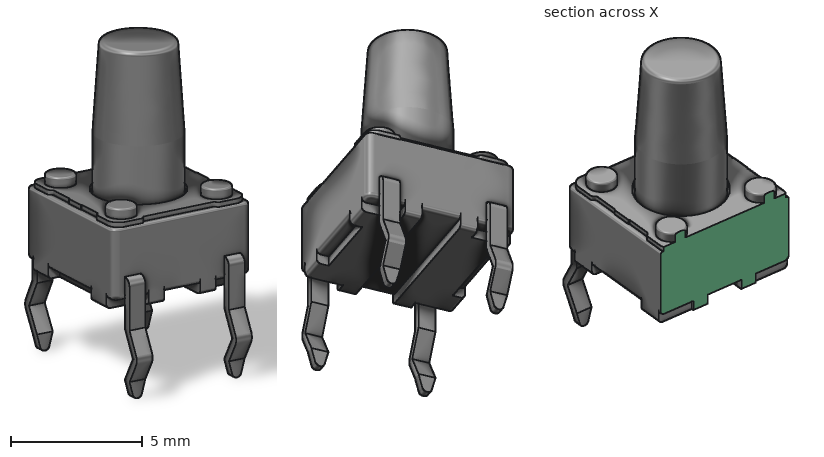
import cadquery as cq

total_height = 13

case_side = 6.2
case_half = case_side / 2
case_corner_radius = 0.3
case_bottom_z = 0.42
case_top_z = 3.32
case_top_edge_radius = 0.12
case_bottom_edge_radius = 0.2

tab_edge_radius = 0.2
front_tab_inner = 1.52
front_tab_outer = 2.59
tab_thickness = case_half - front_tab_outer
side_tab_inner = 0.8
side_tab_outer = 1.51

base_side = 2 * front_tab_outer
base_channel_width = 2 * side_tab_inner

plate_side = 5.98
plate_half = plate_side / 2
plate_corner_radius = 0.5
plate_thickness = 0.2
plate_top_z = case_top_z + plate_thickness
notch_depth = 0.15
notch_half_length = 1.77
notch_floor_half_length = 1.52
notch_bump_half_length = 0.42
notch_bump_height = 0.04

stud_radius = 0.6
stud_height = 0.4
stud_edge_radius = 0.09
stud_offset = 2.15

button_radius = 1.75
button_tip_radius = 1.51
button_top_z = 9.5
button_taper_z = 5.81
button_edge_radius = 0.2
button_hole_radius = 1.86

leg_width = 0.72
leg_thickness = 0.34
leg_offset = 2.24
leg_top_z = 1.35
leg_bend_z = -0.72
leg_kink_z = -1.8
leg_foot_z = -2.78
leg_tip_z = button_top_z - total_height
leg_span = 7.9
leg_kink_reach = 0.57
leg_kink_round_height = 0.36
leg_tip_round_height = 0.17
leg_tip_round_width = 0.42


def make_case():
    case = (
        cq.Workplane("XY")
        .workplane(offset=case_bottom_z)
        .rect(case_side, case_side)
        .extrude(case_top_z - case_bottom_z)
        .edges("|Z")
        .fillet(case_corner_radius)
    )
    case = case.faces(">Z").edges().fillet(case_top_edge_radius)
    return case.faces("<Z").edges().fillet(case_bottom_edge_radius)


def make_tab(start, end):
    """Tab in the -Y wall between two X positions, rounded along its outer bottom edge."""
    tab_top_z = case_bottom_z + case_bottom_edge_radius
    tab = cq.Workplane("XY").box(end - start, tab_thickness, tab_top_z, centered=False)
    tab = tab.translate((start, -case_half, 0))
    return tab.edges("|X and <Y and <Z").fillet(tab_edge_radius)


def make_tabs():
    front_tab = make_tab(front_tab_inner, front_tab_outer)
    front_pair = front_tab.union(front_tab.mirror("YZ"))
    side_tab = make_tab(side_tab_inner, side_tab_outer)
    side_pair = side_tab.union(side_tab.mirror("YZ")).rotate((0, 0, 0), (0, 0, 1), -90)
    tabs = front_pair.union(side_pair)
    return tabs.union(tabs.rotate((0, 0, 0), (0, 0, 1), 180))


def make_base():
    base = cq.Workplane("XY").rect(base_side, base_side).extrude(case_bottom_z + case_bottom_edge_radius)
    channel = cq.Workplane("XY").rect(case_side, base_channel_width).extrude(case_bottom_z)
    return base.cut(channel)


def make_notch(has_bump):
    """Shallow notch in the -Y edge of the plate, its ends curving smoothly into the edge."""
    floor_y = -plate_half + notch_depth
    outside_y = -plate_half - notch_depth
    end_middle = ((notch_floor_half_length + notch_half_length) / 2, -plate_half + notch_depth / 2)
    bump_height = notch_bump_height if has_bump else 0
    half_notch = cq.Workplane("XY").workplane(offset=case_top_z).moveTo(0, outside_y)
    half_notch = half_notch.lineTo(0, floor_y - bump_height)
    if has_bump:
        half_notch = half_notch.lineTo(notch_bump_half_length, floor_y - bump_height)
        half_notch = half_notch.lineTo(notch_bump_half_length + bump_height, floor_y)
    half_notch = (
        half_notch.lineTo(notch_floor_half_length, floor_y)
        .tangentArcPoint(end_middle, relative=False)
        .tangentArcPoint((notch_half_length, -plate_half), relative=False)
        .lineTo(notch_half_length, outside_y)
        .close()
        .extrude(plate_thickness)
    )
    return half_notch.union(half_notch.mirror("YZ"))


def make_plate():
    plate = (
        cq.Workplane("XY")
        .workplane(offset=case_top_z)
        .rect(plate_side, plate_side)
        .extrude(plate_thickness)
        .edges("|Z")
        .fillet(plate_corner_radius)
    )
    for side in range(4):
        notch = make_notch(has_bump=side % 2 == 0)
        plate = plate.cut(notch.rotate((0, 0, 0), (0, 0, 1), 90 * side))
    hole = cq.Workplane("XY").workplane(offset=case_top_z).circle(button_hole_radius).extrude(plate_thickness)
    return plate.cut(hole)


def make_studs():
    return (
        cq.Workplane("XY")
        .workplane(offset=plate_top_z)
        .rect(2 * stud_offset, 2 * stud_offset, forConstruction=True)
        .vertices()
        .circle(stud_radius)
        .extrude(stud_height)
        .faces(">Z")
        .edges()
        .fillet(stud_edge_radius)
    )


def make_button():
    button = (
        cq.Workplane("XZ")
        .moveTo(0, case_top_z)
        .lineTo(button_radius, case_top_z)
        .lineTo(button_radius, button_taper_z)
        .lineTo(button_tip_radius, button_top_z)
        .lineTo(0, button_top_z)
        .close()
        .revolve(360, (0, 0, 0), (0, 1, 0))
    )
    return button.faces(">Z").edges().fillet(button_edge_radius)


def make_leg():
    """Leg on the +X wall at +Y: kinked side profile trimmed to a tapered outline."""
    inner_x = case_half
    outer_x = inner_x + leg_thickness
    kink_inner_x = inner_x + leg_kink_reach
    kink_x = outer_x + leg_kink_reach
    half_round = leg_kink_round_height / 2
    upper_x = kink_x - leg_kink_reach * half_round / (leg_bend_z - leg_kink_z)
    lower_x = kink_x - leg_kink_reach * half_round / (leg_kink_z - leg_foot_z)
    profile = (
        cq.Workplane("XZ")
        .moveTo(inner_x - leg_thickness, leg_top_z)
        .lineTo(inner_x, leg_top_z)
        .radiusArc((outer_x, leg_top_z - leg_thickness), leg_thickness)
        .lineTo(outer_x, leg_bend_z)
        .lineTo(upper_x, leg_kink_z + half_round)
        .threePointArc((leg_span / 2, leg_kink_z), (lower_x, leg_kink_z - half_round))
        .lineTo(outer_x, leg_foot_z)
        .lineTo(outer_x, leg_tip_z)
        .lineTo(inner_x, leg_tip_z)
        .lineTo(inner_x, leg_foot_z)
        .lineTo(kink_inner_x, leg_kink_z)
        .lineTo(inner_x, leg_bend_z)
        .lineTo(inner_x, leg_top_z - leg_thickness)
        .lineTo(inner_x - leg_thickness, leg_top_z - leg_thickness)
        .close()
        .extrude(leg_width / 2, both=True)
    )
    half_width = leg_width / 2
    half_tip = leg_tip_round_width / 2
    tip_arc_z = leg_tip_z + leg_tip_round_height
    outline = (
        cq.Workplane("YZ")
        .moveTo(-half_width, leg_top_z)
        .lineTo(half_width, leg_top_z)
        .lineTo(half_width, leg_foot_z)
        .lineTo(half_tip, tip_arc_z)
        .threePointArc((0, leg_tip_z), (-half_tip, tip_arc_z))
        .lineTo(-half_width, leg_foot_z)
        .close()
        .extrude(leg_span)
    )
    return profile.intersect(outline).translate((0, leg_offset, 0))


def make_legs():
    leg = make_leg()
    pair = leg.union(leg.mirror("XZ"))
    return pair.union(pair.mirror("YZ"))


result = make_case()
for piece in (make_tabs(), make_base(), make_plate(), make_studs(), make_button(), make_legs()):
    result = result.union(piece)